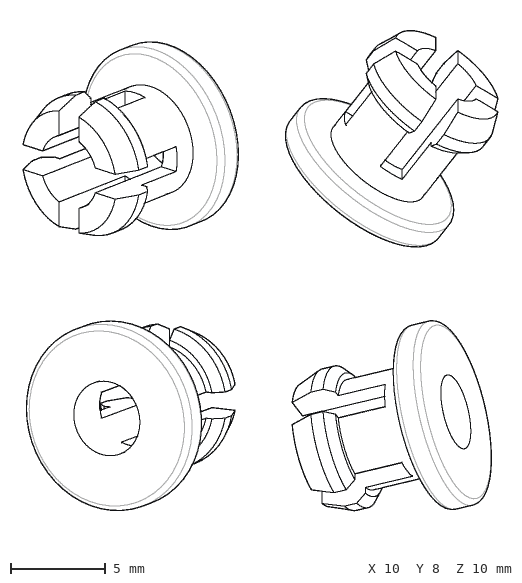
import cadquery as cq

total_length = 8.0
bore_diameter = 4.0

flange_diameter = 10.0
flange_thickness = 1.55
flange_edge_radius = 0.3

neck_diameter = 6.0

barb_diameter = 7.7
barb_length = 2.5
barb_lip = 0.5
barb_land = 0.7
tip_diameter = 6.7

slot_width = 1.4
slot_depth = 5.2

barb_start = total_length - barb_length
land_start = barb_start + barb_lip
land_end = land_start + barb_land


def make_flange():
    """Disc with both rims rounded."""
    disc = cq.Workplane("XZ").circle(flange_diameter / 2).extrude(flange_thickness)
    return disc.edges().fillet(flange_edge_radius)


def make_barbed_sleeve():
    """Solid of revolution for the neck, barb and tapered tip."""
    neck_radius = neck_diameter / 2
    barb_radius = barb_diameter / 2
    profile = [
        (0, -flange_thickness / 2),
        (neck_radius, -flange_thickness / 2),
        (neck_radius, -barb_start),
        (barb_radius - barb_lip, -barb_start),
        (barb_radius, -land_start),
        (barb_radius, -land_end),
        (tip_diameter / 2, -total_length),
        (0, -total_length),
    ]
    return cq.Workplane("XY").polyline(profile).close().revolve(360, (0, 0, 0), (0, 1, 0))


def make_cross_slots():
    """Two crossing slots that split the sleeve into four legs."""
    slot_center = -(total_length - slot_depth / 2)
    slot = (
        cq.Workplane("XY")
        .box(barb_diameter, slot_depth, slot_width)
        .translate((0, slot_center, 0))
    )
    return slot.union(slot.rotate((0, 0, 0), (0, 1, 0), 90))


def make_bore():
    """Through hole along the axis."""
    return cq.Workplane("XZ").circle(bore_diameter / 2).extrude(total_length)


result = make_flange().union(make_barbed_sleeve()).cut(make_cross_slots()).cut(make_bore())